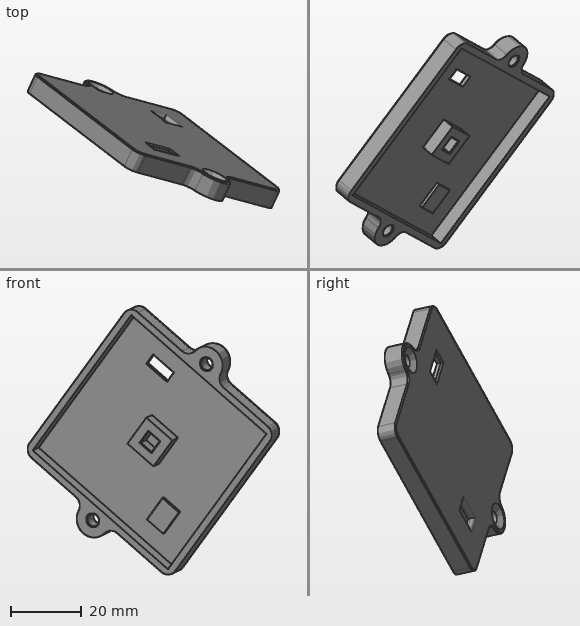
import cadquery as cq


outer_side = 56.05
cavity_side = 52.0
tray_height = 5.8
floor_thickness = 1.7
corner_radius = 3.05
bottom_chamfer = 0.4

ear_offset = 30.0
ear_radius = 5.0
ear_blend_radius = 3.05
screw_hole_diameter = 3.5
screw_head_diameter = 7.6
screw_head_depth = 1.2
hole_entry_chamfer = 0.3

post_side = 10.0
post_top = 5.55
socket_side = 4.2
socket_entry_chamfer = 0.2

window_center = (-11.1, 17.6)
window_size = (7.9, 3.6)
window_flare_width = 0.7
window_flare_depth = 0.4

pad_center = (15.0, -16.0)
pad_size = (6.3, 8.2)
pad_height = 1.0
recess_size = (4.1, 6.55)
recess_edge_radius = 1.0

turn_x = 104.9
turn_y = 40.3
turn_z = -15.1

pick_margin = 0.1


def block(size, center, bottom, top):
    """Upright rectangular block between two heights."""
    return (
        cq.Workplane("XY", origin=(*center, bottom))
        .rect(*size)
        .extrude(top - bottom)
    )


def edge_picker(half_x, half_y, center, bottom, top):
    """Selector for the edges lying inside a box, with a small margin all round."""
    x, y = center
    return cq.selectors.BoxSelector(
        (x - half_x - pick_margin, y - half_y - pick_margin, bottom - pick_margin),
        (x + half_x + pick_margin, y + half_y + pick_margin, top + pick_margin),
    )


def make_body():
    """Solid outline of the tray with both ears, chamfered round the bottom."""
    body = block((outer_side, outer_side), (0, 0), 0, tray_height)
    body = body.edges("|Z").fillet(corner_radius)
    for side in (1, -1):
        ear = cq.Workplane("XY").center(0, side * ear_offset).circle(ear_radius).extrude(tray_height)
        body = body.union(ear)
    ear_roots = edge_picker(ear_radius, outer_side / 2, (0, 0), 0, tray_height)
    body = body.edges("|Z").edges(ear_roots).fillet(ear_blend_radius)
    return body.faces("<Z").chamfer(bottom_chamfer)


def cone_frustum(start_radius, end_radius, start_height, depth):
    """Cone frustum about the z axis, running up from start_height."""
    return cq.Workplane("XY").add(
        cq.Solid.makeCone(start_radius, end_radius, depth, cq.Vector(0, 0, start_height))
    )


def make_screw_hole():
    """Cutter for one screw hole: head countersink below, small chamfer on the rim side."""
    radius = screw_hole_diameter / 2
    shank = cq.Workplane("XY").circle(radius).extrude(tray_height)
    head = cone_frustum(screw_head_diameter / 2, radius, 0, screw_head_depth)
    entry = cone_frustum(
        radius, radius + hole_entry_chamfer, tray_height - hole_entry_chamfer, hole_entry_chamfer
    )
    return shank.union(head).union(entry)


def make_post():
    """Square post whose socket reaches down to floor level and is chamfered at its mouth."""
    post = block((post_side, post_side), (0, 0), floor_thickness, post_top)
    socket = block((socket_side, socket_side), (0, 0), floor_thickness, post_top)
    post = post.cut(socket)
    mouth = edge_picker(socket_side / 2, socket_side / 2, (0, 0), post_top, post_top)
    return post.edges(mouth).chamfer(socket_entry_chamfer)


def make_window():
    """Cutter for the window, flared at its bottom edge."""
    cutter = block(window_size, window_center, 0, floor_thickness)
    mouth_size = [side + 2 * window_flare_width for side in window_size]
    flare = (
        cq.Workplane("XY", origin=(*window_center, 0))
        .rect(*mouth_size)
        .workplane(offset=window_flare_depth)
        .rect(*window_size)
        .loft(ruled=True)
    )
    return cutter.union(flare)


def add_hollow_pad(body):
    """Add the pad and hollow it from below, rounding the mouth of the recess."""
    pad = block(pad_size, pad_center, floor_thickness, floor_thickness + pad_height)
    recess = block(recess_size, pad_center, 0, floor_thickness)
    body = body.union(pad).cut(recess)
    mouth = edge_picker(recess_size[0] / 2, recess_size[1] / 2, pad_center, 0, 0)
    return body.edges(mouth).fillet(recess_edge_radius)


cavity = block((cavity_side, cavity_side), (0, 0), floor_thickness, tray_height)
body = make_body().cut(cavity)
for side in (1, -1):
    body = body.cut(make_screw_hole().translate((0, side * ear_offset, 0)))
body = body.union(make_post()).cut(make_window())
body = add_hollow_pad(body)

result = (
    body.rotate((0, 0, 0), (1, 0, 0), turn_x)
    .rotate((0, 0, 0), (0, 1, 0), turn_y)
    .rotate((0, 0, 0), (0, 0, 1), turn_z)
)